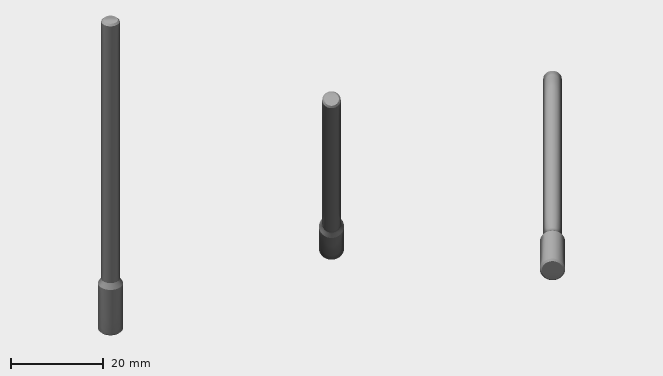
import cadquery as cq

total_length = 80.0
shaft_diameter = 4.0
base_diameter = 5.4

base_length = 13.3
taper_length = 1.3

shaft_chamfer = 0.4
base_chamfer = 0.4


def make_base():
    """Round base with a chamfered bottom and a cone narrowing to the shaft diameter."""
    base_radius = base_diameter / 2
    shaft_radius = shaft_diameter / 2
    half_profile = (
        cq.Workplane("XZ")
        .moveTo(0, 0)
        .lineTo(base_radius - base_chamfer, 0)
        .lineTo(base_radius, base_chamfer)
        .lineTo(base_radius, base_length - taper_length)
        .lineTo(shaft_radius, base_length)
        .lineTo(0, base_length)
        .close()
    )
    return half_profile.revolve(360, (0, 0), (0, 1))


def make_shaft():
    """Slim rod standing on the flat top of the base, chamfered at its free end."""
    return (
        cq.Workplane("XY")
        .workplane(offset=base_length)
        .circle(shaft_diameter / 2)
        .extrude(total_length - base_length)
        .faces(">Z")
        .chamfer(shaft_chamfer)
    )


base = make_base()
shaft = make_shaft()

result = cq.Compound.makeCompound([base.val(), shaft.val()])